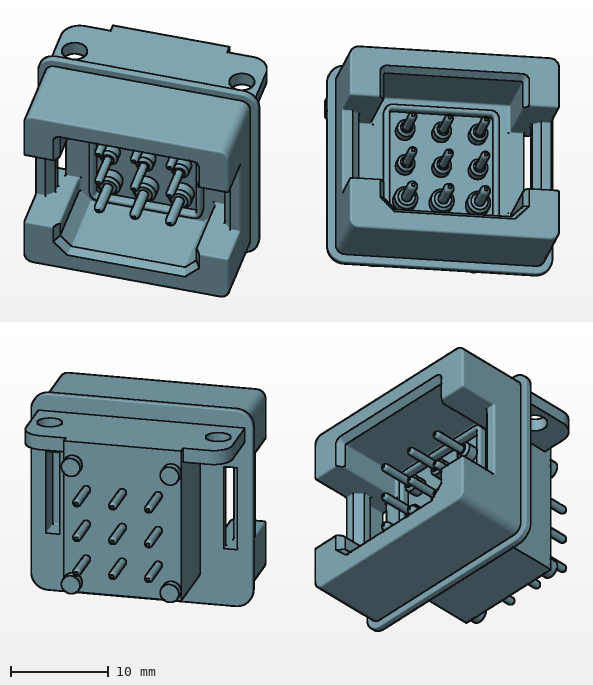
import cadquery as cq
import math


SHELL_WIDTH = 21.8
SHELL_HEIGHT = 19.8
SHELL_CORNER = 1.0
EDGE_ROUND = 0.23

FLANGE_WIDTH = 23.4
FLANGE_HEIGHT = 21.4
FLANGE_CORNER = 1.8
FLANGE_FRONT = 8.25
FLANGE_BACK = 9.0
FLANGE_EDGE = 0.12

CAVITY_HALF_WIDTH = 7.23
CAVITY_HALF_HEIGHT = 7.4
CAVITY_DEPTH = 8.1
CAVITY_TOP_ROUND = 0.2
CAVITY_KEY = 1.2
CAVITY_FLOOR_ROUND = 0.2
MOUTH_GROWTH = 0.54
MOUTH_DEPTH = 0.85

NOTCH_HALF_HEIGHT = 4.47
NOTCH_DEPTH = 4.5
LIP_INNER_X = 9.0
LIP_CHAMFER = 0.82
LIP_BACK = 6.15
WINDOW_INNER_X = 8.65
WINDOW_OUTER_X = 10.1
NOTCH_INSIDE_ROUND = 0.12

RIB_WIDTH = 11.93
RIB_HEIGHT = 12.95
RIB_THICKNESS = 0.55
RIB_RISE = 0.9
RIB_CORNER = 0.9
RIB_EDGE_ROUND = 0.25

BODY_WIDTH = 12.4
BODY_TOP = 8.9
BODY_BOTTOM = -7.49
BODY_BACK = 17.15
PAD_DIAMETER = 1.97
PAD_X = (BODY_WIDTH - PAD_DIAMETER) / 2
PAD_Z = 6.4
PAD_LENGTH = 0.94
PLATE_THICKNESS = 1.52
PLATE_BACK = 16.29
PLATE_CORNER = 2.0
MOUNT_HOLE = 2.6
MOUNT_HOLE_X = 8.9
MOUNT_HOLE_Y = 12.24

PIN_PITCH = 3.8
PIN_FRONT = 2.92
PIN_BACK = 21.5
TIP_FLAT_RADIUS = 0.16
TAIL_RADIUS = 0.42
TAIL_TIP = 0.4
SIGNAL_RADIUS = 0.42
SIGNAL_TIP = 0.4
SIGNAL_COLLAR_RADIUS = 0.91
POWER_RADIUS = 0.51
POWER_TIP = 0.55
POWER_COLLAR_RADIUS = 1.2
COLLAR_FRONT = 6.7
COLLAR_CHAMFER = 0.3

TOLERANCE = 0.002
OVERSHOOT = 1.17


def section(y):
    """Sketch plane facing +Y at depth y (local x runs along -X)."""
    return cq.Workplane("XZ", origin=(0, y, 0)).transformed(rotate=(0, 180, 0))


def rounded_block(width, height, corner, front, back):
    return section(front).rect(width, height).extrude(back - front).edges("|Y").fillet(corner)


def cylinder(x, z, diameter, front, back):
    return section(front).center(-x, z).circle(diameter / 2).extrude(back - front)


def shell_block():
    return rounded_block(SHELL_WIDTH, SHELL_HEIGHT, SHELL_CORNER, 0, FLANGE_BACK)


def cavity_outline(y, growth):
    """Cavity outline at depth y, offset outwards by growth: round top corners, 45 degree bottom ones."""
    x = CAVITY_HALF_WIDTH + growth
    z = CAVITY_HALF_HEIGHT + growth
    key = CAVITY_KEY + growth * (2 - math.sqrt(2))
    round_top = CAVITY_TOP_ROUND + growth
    return (
        section(y)
        .moveTo(-x + key, -z)
        .lineTo(x - key, -z)
        .lineTo(x, -z + key)
        .lineTo(x, z - round_top)
        .radiusArc((x - round_top, z), -round_top)
        .lineTo(-x + round_top, z)
        .radiusArc((-x, z - round_top), -round_top)
        .lineTo(-x, -z + key)
        .close()
    )


def is_key_edge(edge):
    """True for the edges, bore and lead-in, where the cavity floor meets a keying corner."""
    ends = (edge.startPoint(), edge.endPoint())
    return all(end.z < TOLERANCE - CAVITY_HALF_HEIGHT for end in ends)


def cavity():
    """Bore with a ruled lead-in, rounded around its back wall and along the keying corners of its floor."""
    bore = cavity_outline(0, 0).extrude(CAVITY_DEPTH)
    wide = cavity_outline(0, MOUTH_GROWTH).wires().val()
    narrow = cavity_outline(MOUTH_DEPTH, 0).wires().val()
    space = bore.union(cq.Workplane(cq.Solid.makeLoft([wide, narrow], True)))
    key_edges = [edge for edge in space.edges("not(|X or |Z)").vals() if is_key_edge(edge)]
    space = space.newObject(key_edges).fillet(CAVITY_FLOOR_ROUND)
    return space.faces(">Y").edges().fillet(CAVITY_FLOOR_ROUND)


def side_notch():
    """Everything removed on the +X side: notch, throat past the latch lip, and the window behind it."""
    outside = SHELL_WIDTH / 2 + OVERSHOOT
    return (
        cq.Workplane("XY", origin=(0, 0, -NOTCH_HALF_HEIGHT))
        .moveTo(0, -OVERSHOOT)
        .lineTo(outside, -OVERSHOOT)
        .lineTo(outside, NOTCH_DEPTH)
        .lineTo(LIP_INNER_X + LIP_CHAMFER, NOTCH_DEPTH)
        .lineTo(LIP_INNER_X, NOTCH_DEPTH + LIP_CHAMFER)
        .lineTo(LIP_INNER_X, LIP_BACK)
        .lineTo(WINDOW_OUTER_X, LIP_BACK)
        .lineTo(WINDOW_OUTER_X, FLANGE_BACK + OVERSHOOT)
        .lineTo(WINDOW_INNER_X, FLANGE_BACK + OVERSHOOT)
        .lineTo(WINDOW_INNER_X, CAVITY_DEPTH)
        .lineTo(0, CAVITY_DEPTH)
        .close()
        .extrude(2 * NOTCH_HALF_HEIGHT)
        .faces("<Z or >Z")
        .edges()
        .fillet(NOTCH_INSIDE_ROUND)
    )


def flange():
    return (
        rounded_block(FLANGE_WIDTH, FLANGE_HEIGHT, FLANGE_CORNER, FLANGE_FRONT, FLANGE_BACK)
        .faces("<Y or >Y").edges().fillet(FLANGE_EDGE)
    )


def is_rim_edge(edge):
    """True for the outer front edges, the notch edges and the corners between notch and cavity."""
    middle = edge.Center()
    x = abs(middle.x)
    z = abs(middle.z)
    on_front = edge.BoundingBox().ymax < TOLERANCE
    outside_mouth = (
        x > CAVITY_HALF_WIDTH + MOUTH_GROWTH + TOLERANCE or z > CAVITY_HALF_HEIGHT + MOUTH_GROWTH + TOLERANCE
    )
    on_side = abs(x - SHELL_WIDTH / 2) < TOLERANCE
    around_notch = on_side and z < NOTCH_HALF_HEIGHT + TOLERANCE and middle.y < NOTCH_DEPTH + TOLERANCE
    inside_corner = (
        abs(x - CAVITY_HALF_WIDTH) < TOLERANCE
        and abs(z - NOTCH_HALF_HEIGHT) < TOLERANCE
        and edge.BoundingBox().ylen > MOUTH_DEPTH + TOLERANCE
    )
    return (on_front and outside_mouth) or around_notch or inside_corner


def housing():
    notch = side_notch()
    body = shell_block().union(flange()).cut(cavity())
    body = body.cut(notch).cut(notch.mirror("YZ"))
    rim = [edge for edge in body.edges().vals() if is_rim_edge(edge)]
    return body.newObject(rim).fillet(EDGE_ROUND)


def rib():
    back = CAVITY_DEPTH
    front = back - RIB_RISE
    inner_corner = RIB_CORNER - RIB_THICKNESS
    outer = rounded_block(RIB_WIDTH, RIB_HEIGHT, RIB_CORNER, front, FLANGE_BACK)
    inner = rounded_block(
        RIB_WIDTH - 2 * RIB_THICKNESS, RIB_HEIGHT - 2 * RIB_THICKNESS, inner_corner, front, back
    )
    return outer.cut(inner).faces("<Y").edges().fillet(RIB_EDGE_ROUND)


def rear_body():
    height = BODY_TOP - BODY_BOTTOM
    length = BODY_BACK - FLANGE_BACK
    body = cq.Workplane("XY").box(BODY_WIDTH, length, height, centered=(True, False, False))
    body = body.translate((0, FLANGE_BACK, BODY_BOTTOM))
    for x in (-PAD_X, PAD_X):
        for z in (-PAD_Z, PAD_Z):
            body = body.union(cylinder(x, z, PAD_DIAMETER, FLANGE_BACK, BODY_BACK + PAD_LENGTH))
    return body


def mounting_plate():
    length = PLATE_BACK - FLANGE_BACK
    plate = cq.Workplane("XY").box(SHELL_WIDTH, length, PLATE_THICKNESS, centered=(True, False, False))
    plate = plate.translate((0, FLANGE_BACK, BODY_TOP - PLATE_THICKNESS))
    plate = plate.edges("|Z and >Y").fillet(PLATE_CORNER)
    holes = (
        cq.Workplane("XY")
        .pushPoints([(-MOUNT_HOLE_X, MOUNT_HOLE_Y), (MOUNT_HOLE_X, MOUNT_HOLE_Y)])
        .circle(MOUNT_HOLE / 2)
        .extrude(BODY_TOP)
    )
    return plate.cut(holes)


def tip_midpoint(radius, end, tip):
    """Middle of the arc that leaves the pin side tangentially and meets the end flat after length tip."""
    drop = radius - TIP_FLAT_RADIUS
    arc_radius = (tip ** 2 + drop ** 2) / (2 * drop)
    half_angle = math.asin(abs(tip) / arc_radius) / 2
    along = math.copysign(abs(tip) - arc_radius * math.sin(half_angle), tip)
    return (arc_radius * (1 - math.cos(half_angle)) - radius, end + along)


def contact(x, z, radius, tip, collar_radius):
    """Turned contact: rounded front tip, pin, chamfered collar, solder tail with a rounded tip."""
    return (
        cq.Workplane("XY", origin=(x, 0, z))
        .moveTo(0, PIN_BACK)
        .lineTo(0, PIN_FRONT)
        .lineTo(-TIP_FLAT_RADIUS, PIN_FRONT)
        .threePointArc(tip_midpoint(radius, PIN_FRONT, tip), (-radius, PIN_FRONT + tip))
        .lineTo(-radius, COLLAR_FRONT)
        .lineTo(COLLAR_CHAMFER - collar_radius, COLLAR_FRONT)
        .lineTo(-collar_radius, COLLAR_FRONT + COLLAR_CHAMFER)
        .lineTo(-collar_radius, FLANGE_BACK)
        .lineTo(-TAIL_RADIUS, FLANGE_BACK)
        .lineTo(-TAIL_RADIUS, PIN_BACK - TAIL_TIP)
        .threePointArc(tip_midpoint(TAIL_RADIUS, PIN_BACK, -TAIL_TIP), (-TIP_FLAT_RADIUS, PIN_BACK))
        .close()
        .revolve(360, (0, 0, 0), (0, 1, 0))
    )


result = housing().union(rib()).union(rear_body()).union(mounting_plate())
for column in (-1, 0, 1):
    x = column * PIN_PITCH
    result = result.union(contact(x, -PIN_PITCH, POWER_RADIUS, POWER_TIP, POWER_COLLAR_RADIUS))
    for z in (0, PIN_PITCH):
        result = result.union(contact(x, z, SIGNAL_RADIUS, SIGNAL_TIP, SIGNAL_COLLAR_RADIUS))